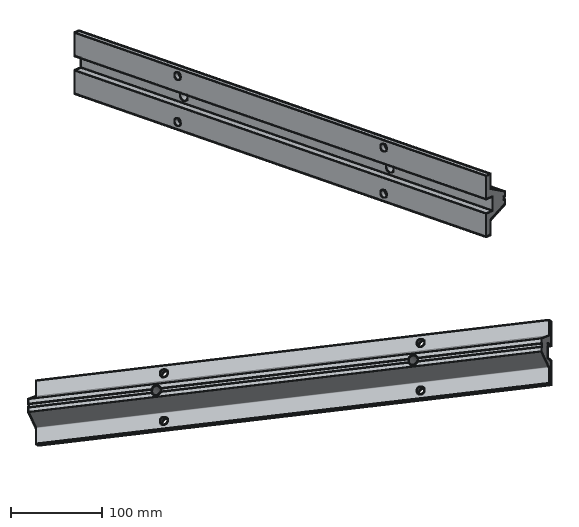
import cadquery as cq

length = 599.5
depth = 31.46
height = 73.0

flange_thickness = 7.5

channel_width = 17.0
channel_depth = 10.5

spine_base_width = 37.0
spine_tip_width = 15.0
spine_root_fillet = 1.0

groove_width = 4.0
groove_depth = 1.5

first_hole_from_end = 150.0
hole_pitch = 300.0
flange_hole_diameter = 9.0
flange_hole_spacing = 55.0
spine_hole_diameter = 11.0


def make_rail():
    """Extrude the cross-section along X, centred on X and Z, with the front face at Y = 0."""
    upper_half = [
        (channel_depth, channel_width / 2),
        (0, channel_width / 2),
        (0, height / 2),
        (flange_thickness, height / 2),
        (flange_thickness, spine_base_width / 2),
        (depth, spine_tip_width / 2),
        (depth, groove_width / 2),
        (depth - groove_depth, groove_width / 2),
    ]
    lower_half = [(y, -z) for y, z in reversed(upper_half)]
    profile = cq.Workplane("YZ").polyline(upper_half + lower_half).close()
    return profile.extrude(length / 2, both=True)


def round_spine_roots(rail):
    """Fillet the two inside corners where the spine meets the flanges."""
    for side in (-1, 1):
        root = cq.selectors.NearestToPointSelector((0, flange_thickness, side * spine_base_width / 2))
        rail = rail.edges("|X").edges(root).fillet(spine_root_fillet)
    return rail


def make_holes(diameter, z):
    """Return one cylinder along Y at each hole station, at height z."""
    first_x = first_hole_from_end - length / 2
    stations = [(first_x, z), (first_x + hole_pitch, z)]
    return cq.Workplane("XZ").pushPoints(stations).circle(diameter / 2).extrude(-depth)


result = round_spine_roots(make_rail())
result = result.cut(make_holes(spine_hole_diameter, 0))
for side in (-1, 1):
    result = result.cut(make_holes(flange_hole_diameter, side * flange_hole_spacing / 2))